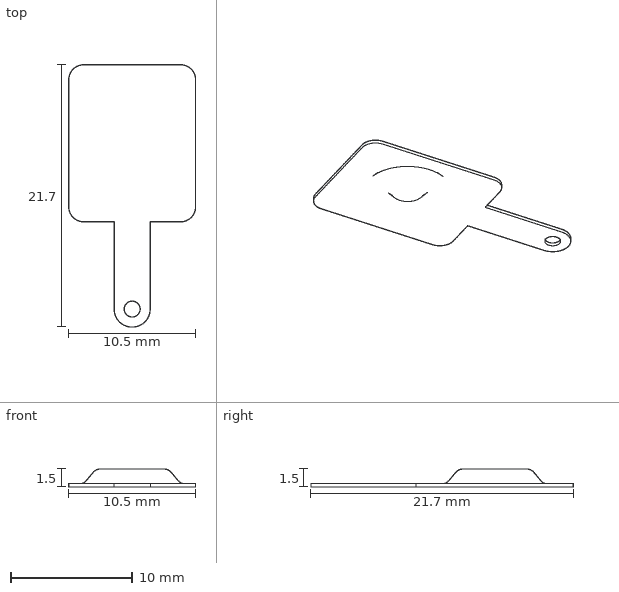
import cadquery as cq
import math

sheet_thickness = 0.3
plate_width = 10.5
plate_length = 13.0
plate_corner_radius = 1.25
overall_length = 21.7
tab_width = 3.0
tab_hole_diameter = 1.3

overall_height = 1.5
rim_mean_radius = 2.5
rim_width = 0.24
wall_angle = math.radians(50)
inside_bend_radius = 0.5
outside_bend_radius = inside_bend_radius + sheet_thickness

rim_inner_radius = rim_mean_radius - rim_width / 2
rim_outer_radius = rim_mean_radius + rim_width / 2

crest_rise = overall_height - sheet_thickness
bend_radius_sum = inside_bend_radius + outside_bend_radius
straight_rise = crest_rise - bend_radius_sum * (1 - math.cos(wall_angle))
wall_run = bend_radius_sum * math.sin(wall_angle) + straight_rise / math.tan(wall_angle)
dome_base_radius = rim_outer_radius + wall_run
dimple_floor_radius = rim_inner_radius - wall_run

crest_bend_height = overall_height - outside_bend_radius
foot_bend_height = sheet_thickness + inside_bend_radius

tab_end_radius = tab_width / 2
tab_hole_y = plate_length / 2 - overall_length + tab_end_radius


def make_plate():
    """Flat rectangle with rounded corners and a round-ended tab with a hole."""
    body = (
        cq.Workplane("XY")
        .rect(plate_width, plate_length)
        .extrude(sheet_thickness)
        .edges("|Z")
        .fillet(plate_corner_radius)
    )
    tab = (
        cq.Workplane("XY")
        .moveTo(-tab_end_radius, 0)
        .lineTo(-tab_end_radius, tab_hole_y)
        .threePointArc((0, tab_hole_y - tab_end_radius), (tab_end_radius, tab_hole_y))
        .lineTo(tab_end_radius, 0)
        .close()
        .extrude(sheet_thickness)
    )
    hole = (
        cq.Workplane("XY")
        .center(0, tab_hole_y)
        .circle(tab_hole_diameter / 2)
        .extrude(sheet_thickness)
    )
    return body.union(tab).cut(hole)


def crest_point(rim_radius, side, bend_radius, angle):
    """Point on a crest bend; side is +1 outside the rim and -1 inside it."""
    return (
        rim_radius + side * bend_radius * math.sin(angle),
        crest_bend_height + bend_radius * math.cos(angle),
    )


def foot_point(foot_radius, side, bend_radius, angle):
    """Point on the bend at the foot of a wall; side is as for the crest bend."""
    return (
        foot_radius - side * bend_radius * math.sin(angle),
        foot_bend_height - bend_radius * math.cos(angle),
    )


def draw_sheet_face(profile, crest_bend, foot_bend):
    """Draw one face of the formed sheet from the dimple floor out to the dome base."""
    half = wall_angle / 2
    return (
        profile
        .lineTo(*foot_point(dimple_floor_radius, -1, foot_bend, 0))
        .threePointArc(
            foot_point(dimple_floor_radius, -1, foot_bend, half),
            foot_point(dimple_floor_radius, -1, foot_bend, wall_angle),
        )
        .lineTo(*crest_point(rim_inner_radius, -1, crest_bend, wall_angle))
        .threePointArc(
            crest_point(rim_inner_radius, -1, crest_bend, half),
            crest_point(rim_inner_radius, -1, crest_bend, 0),
        )
        .lineTo(*crest_point(rim_outer_radius, 1, crest_bend, 0))
        .threePointArc(
            crest_point(rim_outer_radius, 1, crest_bend, half),
            crest_point(rim_outer_radius, 1, crest_bend, wall_angle),
        )
        .lineTo(*foot_point(dome_base_radius, 1, foot_bend, wall_angle))
        .threePointArc(
            foot_point(dome_base_radius, 1, foot_bend, half),
            foot_point(dome_base_radius, 1, foot_bend, 0),
        )
    )


def revolve_below_face(face_base, crest_bend, foot_bend, bottom):
    """Solid of revolution between one face of the formed sheet and a flat bottom."""
    profile = cq.Workplane("XZ").moveTo(0, face_base)
    profile = draw_sheet_face(profile, crest_bend, foot_bend)
    return (
        profile
        .lineTo(dome_base_radius, bottom)
        .lineTo(0, bottom)
        .close()
        .revolve(360, (0, 0, 0), (0, 1, 0))
    )


def make_dome():
    """Formed disc of constant thickness: upper face solid less the hollow beneath."""
    filled = revolve_below_face(
        sheet_thickness, outside_bend_radius, inside_bend_radius, -sheet_thickness
    )
    hollow = revolve_below_face(
        0, inside_bend_radius, outside_bend_radius, -sheet_thickness
    )
    return filled.cut(hollow)


dome_opening = cq.Workplane("XY").circle(dome_base_radius).extrude(sheet_thickness)
result = make_plate().cut(dome_opening).union(make_dome())